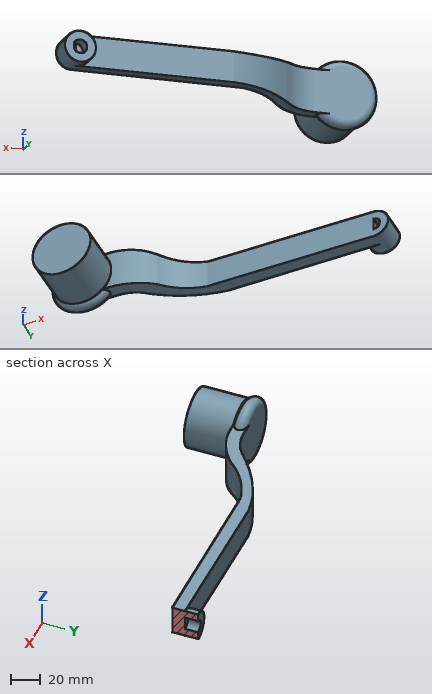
import cadquery as cq

knob_diameter = 43.0
knob_length = 33.3
collar_diameter = 48.0

thickness = 10.0
total_length = 236.0
total_depth = 84.0

boss_diameter = 22.0
boss_length = 18.9
hole_diameter = 9.5
boss_x = total_length - collar_diameter / 2 - boss_diameter / 2
boss_front = total_depth - boss_length

arm_start = knob_diameter / 2
lower_bend_end = 41.3
upper_bend_start = 44.4
bend_end = 89.0
front_bend_change = 50.0
front_bend_end = 78.5
front_slope_start = 87.3

collar_back = knob_length + thickness
bar_back = 74.5
bar_front = bar_back - thickness
lower_bend_back = 51.5
upper_bend_back = 54.3
front_bend_y = 46.5
front_lower_bend_mid = (37.0, 37.0)
front_upper_bend_mid = (62.5, 58.0)

root_half_height = 15.3
lower_bend_half_height = 14.6
upper_bend_half_height = 14.2
bar_half_height = boss_diameter / 2


def cylinder(diameter, start_y, length, x=0):
    """Cylinder along +Y."""
    return cq.Workplane("XZ", origin=(x, start_y, 0)).circle(diameter / 2).extrude(-length)


def make_knob():
    """Plain cylinder with a collar whose rim is a full half round."""
    rim_radius = thickness / 2
    rim_start = collar_diameter / 2 - rim_radius
    collar = (
        cq.Workplane("XY")
        .moveTo(0, knob_length)
        .lineTo(rim_start, knob_length)
        .threePointArc((collar_diameter / 2, knob_length + rim_radius), (rim_start, collar_back))
        .lineTo(0, collar_back)
        .close()
        .revolve(360, (0, 0, 0), (0, 1, 0))
    )
    return cylinder(knob_diameter, 0, knob_length).union(collar)


def make_arm():
    """Cranked strip whose height tapers between the collar and the straight bar."""
    crank = (
        cq.Workplane("XY")
        .moveTo(0, collar_back)
        .lineTo(arm_start, collar_back)
        .tangentArcPoint((lower_bend_end, lower_bend_back), relative=False)
        .lineTo(upper_bend_start, upper_bend_back)
        .tangentArcPoint((bend_end, bar_back), relative=False)
        .lineTo(boss_x, bar_back)
        .lineTo(boss_x, boss_front)
        .lineTo(front_slope_start, bar_front)
        .lineTo(front_bend_end, bar_front)
        .threePointArc(front_upper_bend_mid, (front_bend_change, front_bend_y))
        .threePointArc(front_lower_bend_mid, (arm_start, knob_length))
        .lineTo(0, knob_length)
        .close()
        .extrude(root_half_height, both=True)
    )
    half_outline = (
        cq.Workplane("XZ")
        .lineTo(0, root_half_height)
        .lineTo(arm_start, root_half_height)
        .tangentArcPoint((lower_bend_end, lower_bend_half_height), relative=False)
        .lineTo(upper_bend_start, upper_bend_half_height)
        .tangentArcPoint((bend_end, bar_half_height), relative=False)
        .lineTo(boss_x, bar_half_height)
        .lineTo(boss_x, 0)
        .close()
        .extrude(-total_depth)
    )
    outline = half_outline.union(half_outline.mirror("XY"))
    return crank.intersect(outline)


def make_boss():
    boss = cylinder(boss_diameter, boss_front, boss_length, boss_x)
    return boss.cut(cylinder(hole_diameter, boss_front, boss_length, boss_x))


result = make_knob().union(make_boss()).union(make_arm())